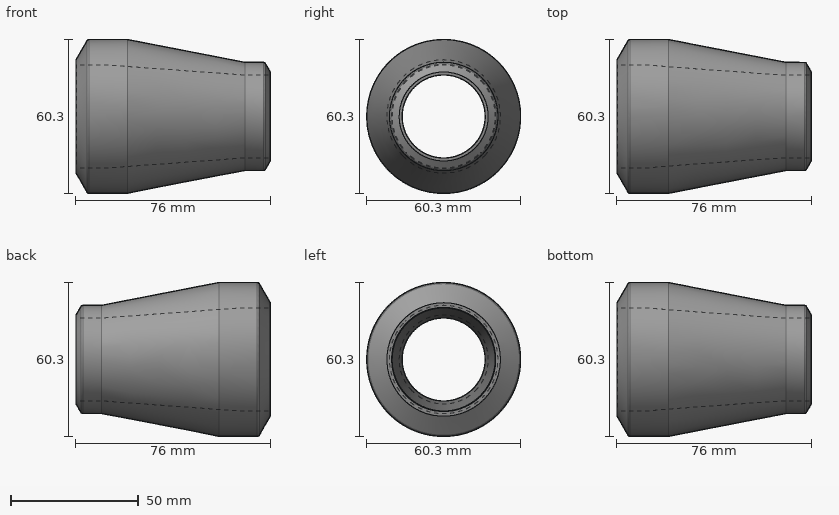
import cadquery as cq

length = 76.0
large_outer_radius = 60.3 / 2
small_outer_radius = 42.4 / 2
large_bore_radius = 40.3 / 2
small_bore_radius = 32.4 / 2

large_collar_length = 20.1
small_collar_length = 9.95
taper_end = length - small_collar_length

large_bore_depth = 11.9
mouth_chamfer = 0.2

bevel_rise_ratio = 3 ** 0.5
large_face_radius = 22.2
small_face_radius = 17.4
large_bevel_length = (large_outer_radius - large_face_radius) / bevel_rise_ratio
small_bevel_length = (small_outer_radius - small_face_radius) / bevel_rise_ratio
bevel_fillet_radius = 1.0


def revolve_about_x(outline):
    """Revolve a closed (x, radius) outline around the X axis."""
    return cq.Workplane("XZ").polyline(outline).close().revolve(360, (0, 0, 0), (1, 0, 0))


def make_outer_body():
    body = revolve_about_x([
        (0, 0),
        (0, large_face_radius),
        (large_bevel_length, large_outer_radius),
        (large_collar_length, large_outer_radius),
        (taper_end, small_outer_radius),
        (length - small_bevel_length, small_outer_radius),
        (length, small_face_radius),
        (length, 0),
    ])
    for x in (large_bevel_length, length - small_bevel_length):
        edge = cq.selectors.BoxSelector(
            (x - bevel_fillet_radius, -length, -length),
            (x + bevel_fillet_radius, length, length),
            boundingbox=True,
        )
        body = body.edges(edge).fillet(bevel_fillet_radius)
    return body


def make_bore():
    return revolve_about_x([
        (0, 0),
        (0, large_bore_radius + mouth_chamfer),
        (mouth_chamfer, large_bore_radius),
        (large_bore_depth, large_bore_radius),
        (taper_end, small_bore_radius),
        (length, small_bore_radius),
        (length, 0),
    ])


result = make_outer_body().cut(make_bore())